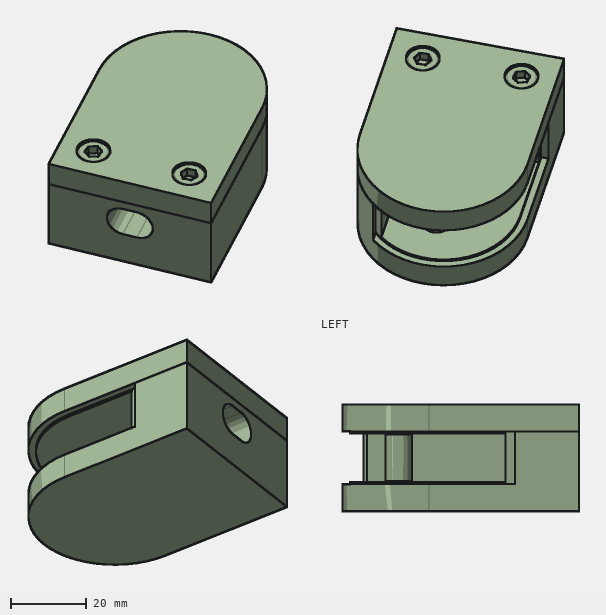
import cadquery as cq
import math

WIDTH = 46.0
LENGTH = 63.0
HEIGHT = 28.5
END_RADIUS = WIDTH / 2
STRAIGHT_LENGTH = LENGTH - END_RADIUS

PLATE_THICKNESS = 7.25
JAW_BOTTOM = PLATE_THICKNESS
JAW_TOP = HEIGHT - PLATE_THICKNESS
JAW_HEIGHT = JAW_TOP - JAW_BOTTOM
JAW_BACK_Y = 17.0
JAW_SIDE_X = 15.0

GASKET_INSET = 2.0
PAD_THICKNESS = 0.6
GASKET_BACK_THICKNESS = 2.5
GASKET_SIDE_THICKNESS = 2.0

POST_DIAMETER = 7.0
POST_Y = 48.0
POST_END_GAP = 0.2
POST_NECK_DIAMETER = 4.5

SLOT_LENGTH = 13.0
SLOT_HEIGHT = 9.0

SCREW_SPACING = 27.1
SCREW_Y = 9.0
HEAD_DIAMETER = 9.0
HEAD_EDGE_RADIUS = 0.6
HEAD_SINK = 0.25
HEAD_HEIGHT = 3.8
HEX_ACROSS_FLATS = 4.05
HEX_DEPTH = 2.5
HEX_ANGLES = (22.0, 3.0)


def rounded_plate(inset, bottom, height):
    """Plate of the clamp outline, with its straight sides and round end moved in by inset."""
    half_width = END_RADIUS - inset
    return (
        cq.Workplane("XY", origin=(0, 0, bottom))
        .moveTo(-half_width, 0)
        .lineTo(half_width, 0)
        .lineTo(half_width, STRAIGHT_LENGTH)
        .threePointArc((0, STRAIGHT_LENGTH + half_width), (-half_width, STRAIGHT_LENGTH))
        .close()
        .extrude(height)
    )


def corner_block(right_x, back_y, bottom, height):
    """Block from the corner (right_x, back_y) that runs out past the clamp to -X and +Y."""
    return (
        cq.Workplane("XY", origin=(right_x, back_y, bottom))
        .box(WIDTH, LENGTH, height, centered=False)
        .translate((-WIDTH, 0, 0))
    )


def make_housing():
    """Lower plate with the rear block, the +X side wall and the mounting slot."""
    jaw = corner_block(JAW_SIDE_X, JAW_BACK_Y, JAW_BOTTOM, JAW_HEIGHT)
    slot = (
        cq.Workplane("XZ", origin=(0, 0, HEIGHT / 2))
        .slot2D(SLOT_LENGTH, SLOT_HEIGHT)
        .extrude(-JAW_BACK_Y)
    )
    return rounded_plate(0, 0, JAW_TOP).cut(jaw).cut(slot)


def make_screw_head(hex_angle):
    """Round-edged screw head with a hexagon socket, its top at Z = 0."""
    hex_across_corners = HEX_ACROSS_FLATS / math.cos(math.pi / 6)
    socket = (
        cq.Workplane("XY")
        .polygon(6, hex_across_corners)
        .extrude(-HEX_DEPTH)
        .rotate((0, 0, 0), (0, 0, 1), hex_angle)
    )
    return (
        cq.Workplane("XY")
        .circle(HEAD_DIAMETER / 2)
        .extrude(-HEAD_HEIGHT)
        .faces(">Z")
        .edges()
        .fillet(HEAD_EDGE_RADIUS)
        .cut(socket)
    )


def make_cover():
    """Upper plate with two sunk screw heads formed in it."""
    cover = rounded_plate(0, JAW_TOP, PLATE_THICKNESS)
    recess_depth = HEAD_SINK + HEAD_HEIGHT
    for side, hex_angle in zip((-1, 1), HEX_ANGLES):
        screw_x = side * SCREW_SPACING / 2
        recess = (
            cq.Workplane("XY", origin=(screw_x, SCREW_Y, HEIGHT))
            .circle(HEAD_DIAMETER / 2)
            .extrude(-recess_depth)
        )
        head = make_screw_head(hex_angle).translate((screw_x, SCREW_Y, HEIGHT - HEAD_SINK))
        cover = cover.cut(recess).union(head)
    return cover


def make_post():
    """Upright post that meets the pads through a thin neck at each end."""
    shaft_bottom = JAW_BOTTOM + PAD_THICKNESS + POST_END_GAP
    shaft_top = JAW_TOP - PAD_THICKNESS - POST_END_GAP
    neck = (
        cq.Workplane("XY", origin=(0, POST_Y, JAW_BOTTOM))
        .circle(POST_NECK_DIAMETER / 2)
        .extrude(JAW_HEIGHT)
    )
    shaft = (
        cq.Workplane("XY", origin=(0, POST_Y, shaft_bottom))
        .circle(POST_DIAMETER / 2)
        .extrude(shaft_top - shaft_bottom)
    )
    return neck.union(shaft)


def make_gasket():
    """Lining of the jaw: two pads joined by a back wall, a side wall and the safety post."""
    lining = rounded_plate(GASKET_INSET, JAW_BOTTOM, JAW_HEIGHT).intersect(
        corner_block(JAW_SIDE_X, JAW_BACK_Y, JAW_BOTTOM, JAW_HEIGHT)
    )
    panel_space = corner_block(
        JAW_SIDE_X - GASKET_SIDE_THICKNESS,
        JAW_BACK_Y + GASKET_BACK_THICKNESS,
        JAW_BOTTOM + PAD_THICKNESS,
        JAW_HEIGHT - 2 * PAD_THICKNESS,
    )
    return lining.cut(panel_space).union(make_post())


housing = make_housing()
cover = make_cover()
gasket = make_gasket()

result = cq.Compound.makeCompound([housing.val(), cover.val(), gasket.val()])